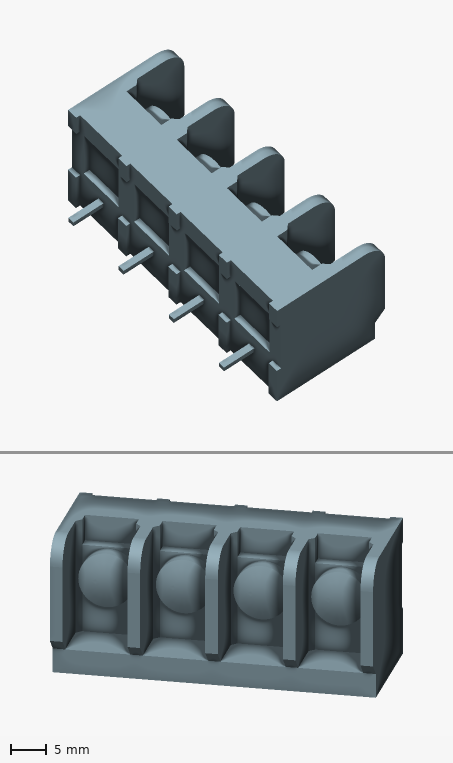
import cadquery as cq


length = 46.3
height = 20.33
depth = 19.55
poles = 4

barrier_width = 1.8
barrier_round = 3.8
pitch = (length - barrier_width) / poles
bay_width = pitch - barrier_width

base_step = 1.8
base_height = 3.55
foot_height = 0.75
upper_foot_setback = 0.05
bay_depth = 9.25

upper_foot_length = 3.65
lower_foot_length = 6.85

window_width = 7.75
window_bottom = 7.95
window_top = 16.55
window_depth = 1.05
notch_depth = 1.8
corner_chamfer = (bay_width - window_width) / 2

head_diameter = 8.0
head_thickness = 2.0
dome_height = 0.93
head_z = (window_bottom + window_top) / 2

pin_width = 1.1
pin_thickness = 0.85
pin_bottom = 4.75
pin_length = 4.7

pole_places = [(i - (poles - 1) / 2) * pitch for i in range(poles)]
barrier_places = [(i - poles / 2) * pitch for i in range(poles + 1)]
bay_back = depth - bay_depth


def box(x, width, y_start, y_end, z_start, z_end):
    """Block centred on x, spanning the given Y and Z ranges."""
    corner = (x - width / 2, y_start, z_start)
    return cq.Workplane("XY").box(width, y_end - y_start, z_end - z_start, centered=False).translate(corner)


def side_profile():
    """Full block with rounded barrier tops and a chamfered overhang above the base."""
    return (
        cq.Workplane("YZ")
        .moveTo(foot_height, 0)
        .lineTo(depth - base_step, 0)
        .lineTo(depth - base_step, base_height)
        .lineTo(depth, base_height + base_step)
        .lineTo(depth, height - barrier_round)
        .radiusArc((depth - barrier_round, height), -barrier_round)
        .lineTo(foot_height, height)
        .close()
        .extrude(length / 2, both=True)
    )


def wire_bay(x):
    """Space between two barriers, with chamfered inner corners and a notch above the screw."""
    bay = box(x, bay_width, bay_back, depth, base_height, height)
    bay = bay.edges("|Z and <Y").chamfer(corner_chamfer)
    notch = box(x, window_width, bay_back - notch_depth, bay_back, window_top, height)
    return bay.union(notch)


def window(x):
    """Shallow rectangular recess in the front face."""
    return box(x, window_width, foot_height, foot_height + window_depth, window_bottom, window_top)


def feet(x):
    """Upper and lower feet in line with a barrier."""
    upper = box(x, barrier_width, upper_foot_setback, foot_height, height - upper_foot_length, height)
    lower = box(x, barrier_width, 0, foot_height, 0, lower_foot_length)
    return upper.union(lower)


def screw_head(x):
    """Domed round head seated on the back wall of a bay, with its axis along Y."""
    radius = head_diameter / 2
    dome_radius = (radius**2 + dome_height**2) / (2 * dome_height)
    head_end = bay_back + head_thickness
    return (
        cq.Workplane("XY")
        .moveTo(0, bay_back)
        .lineTo(radius, bay_back)
        .lineTo(radius, head_end)
        .radiusArc((0, head_end + dome_height), -dome_radius)
        .close()
        .revolve(360, (0, 0, 0), (0, 1, 0))
        .translate((x, 0, head_z))
    )


def pin(x):
    """Flat pin standing out of the front face."""
    return box(x, pin_width, -pin_length, foot_height, pin_bottom, pin_bottom + pin_thickness)


result = side_profile()
for x in pole_places:
    result = result.cut(wire_bay(x)).cut(window(x))
    result = result.union(screw_head(x)).union(pin(x))
for x in barrier_places:
    result = result.union(feet(x))